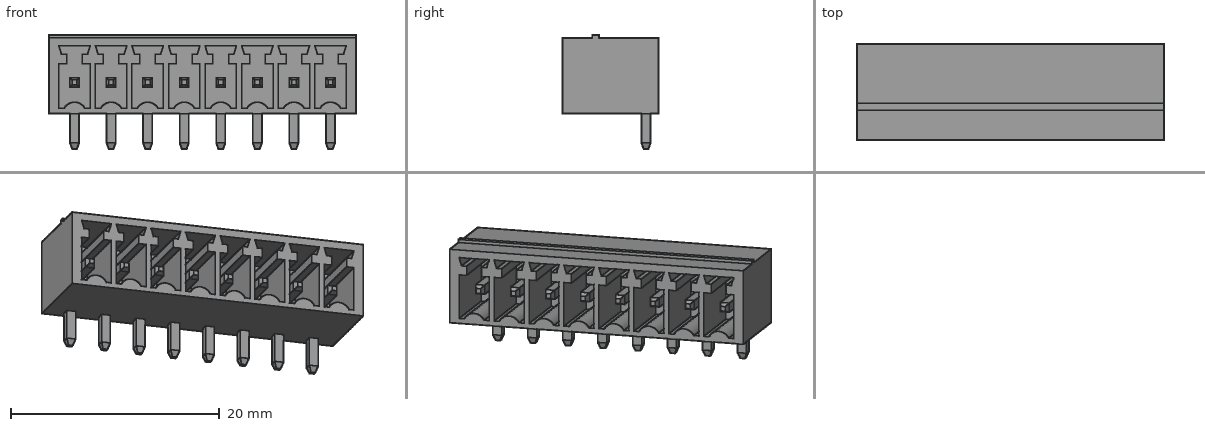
import cadquery as cq

contact_count = 8
pitch = 3.5
end_margin = 2.45

housing_length = (contact_count - 1) * pitch + 2 * end_margin
housing_depth = 9.2
housing_height = 7.25

rib_height = 0.3
rib_width = 0.65
rib_front = 2.85

cavity_depth = 7.2
cavity_width = 3.0
cavity_floor = 0.5
cavity_roof = 6.5
ledge_bottom = 4.8
ledge_top = 5.7
neck_width = 1.5
dovetail_base_width = 2.5
bump_width = 2.0
bump_height = 0.6

pin_width = 0.9
tip_width = 0.45
tip_length = 0.6
blade_height = 3.0
blade_front = 1.4
leg_length = 3.4
leg_setback = 1.2

leg_y = housing_depth - leg_setback
contact_positions = [(i - (contact_count - 1) / 2) * pitch for i in range(contact_count)]


def make_housing():
    """Solid block with the rib along its top."""
    block = cq.Workplane("XY").box(
        housing_length, housing_depth, housing_height, centered=(True, False, False)
    )
    rib = (
        cq.Workplane("XY")
        .box(housing_length, rib_width, housing_height + rib_height, centered=(True, False, False))
        .translate((0, rib_front, 0))
    )
    return block.union(rib)


def make_cavity(x):
    """Keyed cavity with a dovetail slot above the ledges and a rounded bump on its floor."""
    half_width = cavity_width / 2
    half_neck = neck_width / 2
    half_base = dovetail_base_width / 2
    half_bump = bump_width / 2
    return (
        cq.Workplane("XZ")
        .moveTo(-half_width, cavity_floor)
        .lineTo(-half_bump, cavity_floor)
        .threePointArc((0, cavity_floor + bump_height), (half_bump, cavity_floor))
        .lineTo(half_width, cavity_floor)
        .lineTo(half_width, ledge_bottom)
        .lineTo(half_neck, ledge_bottom)
        .lineTo(half_neck, ledge_top)
        .lineTo(half_base, ledge_top)
        .lineTo(half_width, cavity_roof)
        .lineTo(-half_width, cavity_roof)
        .lineTo(-half_base, ledge_top)
        .lineTo(-half_neck, ledge_top)
        .lineTo(-half_neck, ledge_bottom)
        .lineTo(-half_width, ledge_bottom)
        .close()
        .extrude(-cavity_depth)
        .translate((x, 0, 0))
    )


def make_bar(length):
    """Square bar from the origin up +Z, with a tapered tip at its far end."""
    shank_length = length - tip_length
    shank = cq.Workplane("XY").rect(pin_width, pin_width).extrude(shank_length)
    tip = (
        cq.Workplane("XY", origin=(0, 0, shank_length))
        .rect(pin_width, pin_width)
        .workplane(offset=tip_length)
        .rect(tip_width, tip_width)
        .loft(combine=True)
    )
    return shank.union(tip)


def make_contact(x):
    """Horizontal blade in the cavity joined to a solder leg below the housing."""
    blade = (
        make_bar(leg_y - blade_front)
        .rotate((0, 0, 0), (1, 0, 0), 90)
        .translate((x, leg_y, blade_height))
    )
    leg = (
        make_bar(blade_height + leg_length)
        .rotate((0, 0, 0), (1, 0, 0), 180)
        .translate((x, leg_y, blade_height))
    )
    return blade.union(leg)


result = make_housing()
for contact_x in contact_positions:
    result = result.cut(make_cavity(contact_x))
for contact_x in contact_positions:
    result = result.union(make_contact(contact_x))